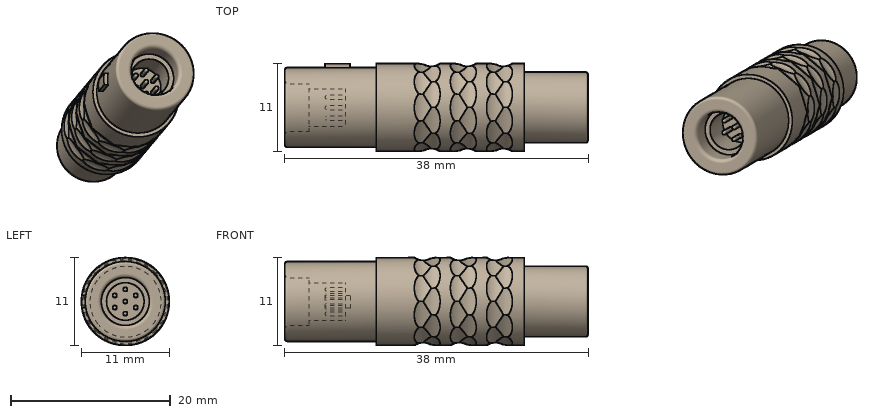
import cadquery as cq
import math

total_length = 38.0
front_length = 11.48
sleeve_end = 30.02

front_radius = 5.0
sleeve_radius = 5.5
rear_radius = 4.45
front_edge_fillet = 0.38
rear_edge_fillet = 0.3

socket_radius = 3.0
socket_depth = 3.0
socket_mouth_fillet = 0.5
recess_radius = 2.35
recess_depth = 7.6

pin_radius = 0.25
pin_circle_radius = 1.52
ring_pin_count = 6
pin_length = 2.28

key_start = 5.05
key_length = 3.15
key_width = 1.52
key_root = (socket_radius + front_radius) / 2

band_count = 3
band_pitch = 4.52
first_row_x = 17.35
rows_per_band = 2
row_spacing = 1.0
scallops_per_row = 10
scallop_step = 360 / scallops_per_row
scallop_depth = 0.35
scallop_cutter_radius = 2.0
scallop_cutter_length = 5.32


def cylinder_x(start, length, radius):
    """Cylinder about the X axis beginning at the given X position."""
    return cq.Workplane("YZ").workplane(offset=start).circle(radius).extrude(length)


def make_body():
    """Stepped barrel with rounded front and rear rims."""
    front = cylinder_x(0, sleeve_end, front_radius).faces("<X").edges().fillet(front_edge_fillet)
    sleeve = cylinder_x(front_length, sleeve_end - front_length, sleeve_radius)
    rear = cylinder_x(front_length, total_length - front_length, rear_radius)
    rear = rear.faces(">X").edges().fillet(rear_edge_fillet)
    return front.union(sleeve).union(rear)


def make_key():
    """Guide key whose top follows the sleeve radius."""
    block = (
        cq.Workplane("XY")
        .box(key_length, sleeve_radius, key_width, centered=(False, False, True))
        .translate((key_start, key_root, 0))
    )
    return block.intersect(cylinder_x(key_start, key_length, sleeve_radius))


def make_scallop_cutter(row_x, angle):
    """Cylinder lying tangentially across the sleeve at an angle about X."""
    axis_radius = sleeve_radius - scallop_depth + scallop_cutter_radius
    return (
        cq.Workplane("XY")
        .workplane(offset=-scallop_cutter_length / 2)
        .center(row_x, axis_radius)
        .circle(scallop_cutter_radius)
        .extrude(scallop_cutter_length)
        .rotate((0, 0, 0), (1, 0, 0), angle)
    )


def cut_grip(body):
    """Cut every band; the rows are staggered by half a step."""
    for band in range(band_count):
        for row in range(rows_per_band):
            row_x = first_row_x + band * band_pitch + row * row_spacing
            for index in range(scallops_per_row):
                angle = (index + (row + 1) / rows_per_band) * scallop_step
                body = body.cut(make_scallop_cutter(row_x, angle))
    return body


def cut_socket(body):
    """Stepped blind socket with a rounded mouth."""
    body = body.cut(cylinder_x(0, socket_depth, socket_radius))
    mouth = body.faces("<X").edges(cq.selectors.RadiusNthSelector(0))
    body = mouth.fillet(socket_mouth_fillet)
    return body.cut(cylinder_x(0, recess_depth, recess_radius))


def make_pin(y, z):
    """Pin standing on the recess floor with a hemispherical tip."""
    pin = cylinder_x(recess_depth - pin_length, pin_length, pin_radius)
    tip = cq.Workplane("XY").sphere(pin_radius).translate((recess_depth - pin_length, 0, 0))
    return pin.union(tip).translate((0, y, z))


def make_pins():
    """Central pin surrounded by an even ring of pins."""
    pins = make_pin(0, 0)
    for index in range(ring_pin_count):
        angle = math.radians(index * 360 / ring_pin_count)
        pin_y = pin_circle_radius * math.sin(angle)
        pin_z = pin_circle_radius * math.cos(angle)
        pins = pins.add(make_pin(pin_y, pin_z))
    return pins


gripped_body = cut_grip(make_body().union(make_key()))
connector = cut_socket(gripped_body).union(make_pins())
result = connector.solids()